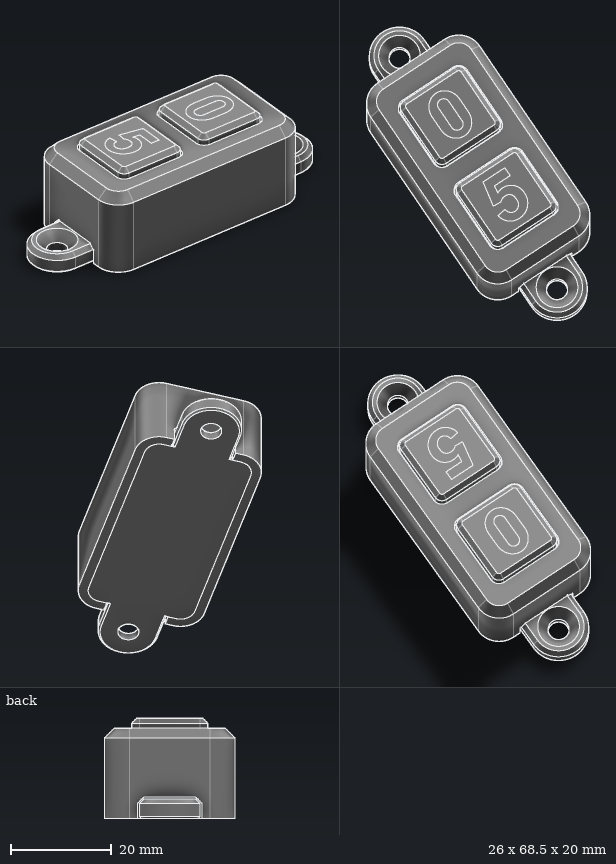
import cadquery as cq

HOUSING_WIDTH = 26.0
HOUSING_LENGTH = 48.0
HOUSING_HEIGHT = 18.0
HOUSING_CORNER_RADIUS = 5.0
HOUSING_CHAMFER = 2.0

OVERALL_HEIGHT = 20.0
BUTTON_PITCH = 20.0
POCKET_SIZE = 16.0
POCKET_CORNER_RADIUS = 2.0
POCKET_DEPTH = 2.0
BUTTON_GAP = 0.4
BUTTON_CHAMFER = 1.0
BUTTON_SIZE = POCKET_SIZE - 2 * BUTTON_GAP
BUTTON_CORNER_RADIUS = POCKET_CORNER_RADIUS - BUTTON_GAP
POCKET_FLOOR = HOUSING_HEIGHT - POCKET_DEPTH
BUTTON_HEIGHT = OVERALL_HEIGHT - POCKET_FLOOR

DIGIT_DEPTH = 0.5
ZERO_WIDTH = 6.6
ZERO_HEIGHT = 10.35
ZERO_SIDE_LENGTH = 3.15
ZERO_CENTRE_WIDTH = 2.5
ZERO_CENTRE_HEIGHT = 7.2

BASE_LENGTH = 68.5
BASE_HEIGHT = 4.0
WALL = 2.0
PLATE_WIDTH = HOUSING_WIDTH - 2 * WALL
PLATE_LENGTH = HOUSING_LENGTH - 2 * WALL
PLATE_CORNER_RADIUS = HOUSING_CORNER_RADIUS - WALL
TAB_WIDTH = 12.05
TAB_TOP_CHAMFER = 0.95
TAB_BOTTOM_CHAMFER = 0.4
NOTCH_GAP = 0.35
NOTCH_CHAMFER = 1.2
SCREW_HOLE_DIAMETER = 4.2
COUNTERSINK_DIAMETER = 8.3
COUNTERSINK_ANGLE = 90
SCREW_SPACING = BASE_LENGTH - TAB_WIDTH

ZERO_Y = BUTTON_PITCH / 2
FIVE_Y = -BUTTON_PITCH / 2
BUTTON_CENTRES = [(0, ZERO_Y), (0, FIVE_Y)]
SCREW_CENTRES = [(0, SCREW_SPACING / 2), (0, -SCREW_SPACING / 2)]


def rounded_block(width, length, height, corner_radius):
    """Upright block on Z = 0 with rounded vertical edges."""
    block = cq.Workplane("XY").box(width, length, height, centered=(True, True, False))
    return block.edges("|Z").fillet(corner_radius)


def base_plate():
    return rounded_block(PLATE_WIDTH, PLATE_LENGTH, BASE_HEIGHT, PLATE_CORNER_RADIUS)


def make_base():
    """Plate with a round-ended strap through it, whose ends are the screw tabs."""
    strap = cq.Workplane("XY").slot2D(BASE_LENGTH, TAB_WIDTH, 90).extrude(BASE_HEIGHT)
    strap = strap.faces(">Z").chamfer(TAB_TOP_CHAMFER)
    strap = strap.faces("<Z").chamfer(TAB_BOTTOM_CHAMFER)
    return (
        base_plate()
        .union(strap)
        .faces(">Z")
        .workplane(origin=(0, 0, BASE_HEIGHT))
        .pushPoints(SCREW_CENTRES)
        .cskHole(SCREW_HOLE_DIAMETER, COUNTERSINK_DIAMETER, COUNTERSINK_ANGLE)
    )


def tab_notch():
    """Opening through one end wall that clears a tab, centred on Y = 0."""
    width = TAB_WIDTH + 2 * NOTCH_GAP
    height = BASE_HEIGHT + NOTCH_GAP
    notch = cq.Workplane("XY").box(width, WALL, height, centered=(True, True, False))
    return notch.edges("|Y and >Z").chamfer(NOTCH_CHAMFER)


def make_housing():
    body = rounded_block(HOUSING_WIDTH, HOUSING_LENGTH, HOUSING_HEIGHT, HOUSING_CORNER_RADIUS)
    body = body.faces(">Z").chamfer(HOUSING_CHAMFER)
    body = body.cut(base_plate())
    wall_centre = (HOUSING_LENGTH - WALL) / 2
    for wall_y in (-wall_centre, wall_centre):
        body = body.cut(tab_notch().translate((0, wall_y, 0)))
    pocket = rounded_block(POCKET_SIZE, POCKET_SIZE, POCKET_DEPTH, POCKET_CORNER_RADIUS)
    for x, y in BUTTON_CENTRES:
        body = body.cut(pocket.translate((x, y, POCKET_FLOOR)))
    return body


def make_button(centre_y, digit):
    """Button standing on its pocket floor, recessed to take its digit."""
    button = rounded_block(BUTTON_SIZE, BUTTON_SIZE, BUTTON_HEIGHT, BUTTON_CORNER_RADIUS)
    button = button.faces(">Z").chamfer(BUTTON_CHAMFER)
    return button.translate((0, centre_y, POCKET_FLOOR)).cut(digit)


def digit_plane(centre_y):
    """Workplane at the floor of a digit recess, centred on its button."""
    return cq.Workplane("XY", origin=(0, centre_y, OVERALL_HEIGHT - DIGIT_DEPTH))


def make_zero(centre_y):
    """Ring with straight sides, elliptical outer ends and a slot-shaped centre."""
    half_width = ZERO_WIDTH / 2
    half_side = ZERO_SIDE_LENGTH / 2
    end_height = (ZERO_HEIGHT - ZERO_SIDE_LENGTH) / 2
    plane = digit_plane(centre_y)
    outer = plane.rect(ZERO_WIDTH, ZERO_SIDE_LENGTH).extrude(DIGIT_DEPTH)
    for end_y in (-half_side, half_side):
        end = plane.center(0, end_y).ellipse(half_width, end_height).extrude(DIGIT_DEPTH)
        outer = outer.union(end)
    centre = plane.slot2D(ZERO_CENTRE_HEIGHT, ZERO_CENTRE_WIDTH, 90).extrude(DIGIT_DEPTH)
    return outer.cut(centre)


def make_five(centre_y):
    """Straight-edged flag above an open bowl made of arcs."""
    return (
        digit_plane(centre_y)
        .moveTo(-3.2, -0.2)
        .lineTo(-2.2, 5.0)
        .lineTo(3.0, 5.0)
        .lineTo(3.0, 3.1)
        .lineTo(-0.75, 3.1)
        .lineTo(-0.95, 1.5)
        .threePointArc((2.3, 1.15), (3.4, -1.3))
        .threePointArc((2.5, -4.0), (-0.1, -5.15))
        .threePointArc((-2.5, -4.3), (-3.5, -2.3))
        .lineTo(-1.65, -2.05)
        .threePointArc((-1.15, -3.1), (-0.15, -3.5))
        .threePointArc((0.95, -2.95), (1.4, -1.45))
        .threePointArc((1.0, -0.3), (0.0, 0.2))
        .threePointArc((-0.9, 0.1), (-1.5, -0.35))
        .close()
        .extrude(DIGIT_DEPTH)
    )


base = make_base()
housing = make_housing()
digits = [make_zero(ZERO_Y), make_five(FIVE_Y)]
buttons = [make_button(y, digit) for (_, y), digit in zip(BUTTON_CENTRES, digits)]

result = cq.Compound.makeCompound(
    [
        housing.val(),
        base.val(),
        *[button.val() for button in buttons],
        *[digit.val() for digit in digits],
    ]
)